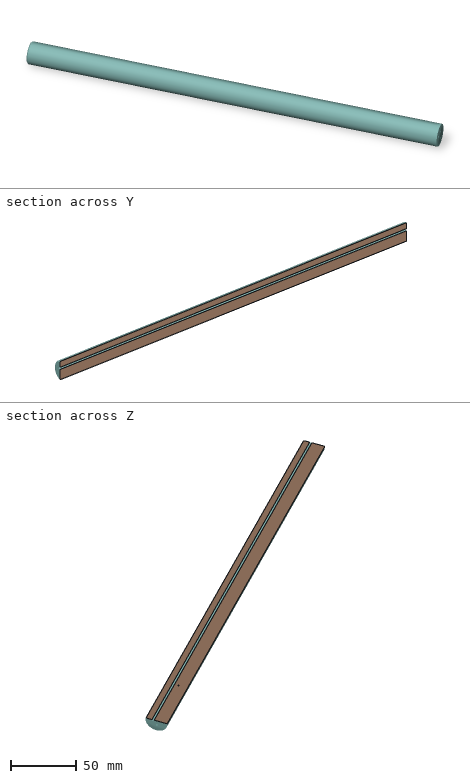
import cadquery as cq
import math

ROD_LENGTH = 330.0
ROD_DIAMETER = 18.0
END_CHAMFER = 0.9

CHANNEL_COUNT = 3
CHANNEL_DIAMETER = 1.5
CHANNEL_CIRCLE_RADIUS = 3.1
FIRST_CHANNEL_ANGLE = 40.0


def rod_along_x(diameter, y=0.0, z=0.0):
    """Full-length cylinder parallel to X with its axis at (y, z)."""
    return (
        cq.Workplane("YZ", origin=(-ROD_LENGTH / 2, 0, 0))
        .center(y, z)
        .circle(diameter / 2)
        .extrude(ROD_LENGTH)
    )


def channel(index):
    """One straight through channel of the evenly spaced set."""
    angle = math.radians(FIRST_CHANNEL_ANGLE + index * 360.0 / CHANNEL_COUNT)
    y = CHANNEL_CIRCLE_RADIUS * math.cos(angle)
    z = CHANNEL_CIRCLE_RADIUS * math.sin(angle)
    return rod_along_x(CHANNEL_DIAMETER, y, z)


result = rod_along_x(ROD_DIAMETER).faces("<X").edges().chamfer(END_CHAMFER)
for channel_index in range(CHANNEL_COUNT):
    result = result.cut(channel(channel_index))